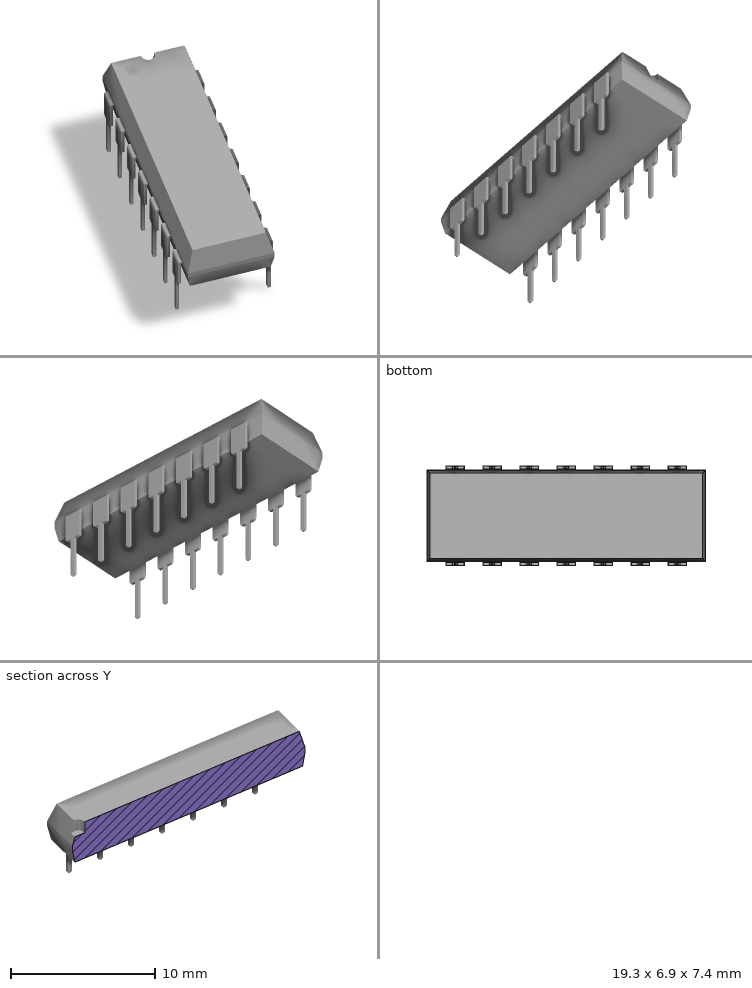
import cadquery as cq

body_length = 19.3
body_width = 6.31
body_height = 3.32
band_bottom = 1.18
band_top = 1.58
upper_draft = 15.7
lower_draft = 10.0

notch_radius = 0.5
notch_depth = 0.98
notch_from_end = 0.52
dimple_diameter = 1.3
dimple_depth = 0.1
dimple_from_end = 1.49
dimple_offset = 1.55

leads_per_row = 7
lead_pitch = 2.57
row_span = 6.9
lead_thickness = 0.23
bend_radius = 0.2
shoulder_width = 1.3
shoulder_radius = 0.17
pin_width = 0.33
lead_top = 1.4
shoulder_bottom = -0.87
overall_height = 7.4
tip_length = 0.12
tip_width = 0.05
tip_thickness = 0.12
lead_embed = 0.39

tip_bottom = body_height - overall_height
upper_height = body_height - band_top


def make_body():
    """Band, tapered upper half and tapered lower half."""
    band = (
        cq.Workplane("XY", origin=(0, 0, band_bottom))
        .rect(body_length, body_width)
        .extrude(band_top - band_bottom)
    )
    upper = (
        cq.Workplane("XY", origin=(0, 0, band_top))
        .rect(body_length, body_width)
        .extrude(upper_height, taper=upper_draft)
    )
    lower = (
        cq.Workplane("XY", origin=(0, 0, band_bottom))
        .rect(body_length, body_width)
        .extrude(-band_bottom, taper=lower_draft)
    )
    return band.union(upper).union(lower)


def make_notch():
    """Upright cylinder at the -X end of the top face."""
    notch_x = notch_from_end - body_length / 2
    return (
        cq.Workplane("XY", origin=(notch_x, 0, body_height))
        .circle(notch_radius)
        .extrude(-notch_depth)
    )


def make_dimple():
    """Shallow cone marking the first lead."""
    cone = cq.Solid.makeCone(
        dimple_diameter / 2,
        0,
        dimple_depth,
        pnt=cq.Vector(dimple_from_end - body_length / 2, -dimple_offset, body_height),
        dir=cq.Vector(0, 0, -1),
    )
    return cq.Workplane(cone)


def make_lead():
    """One lead of the -Y row, centred on X = 0."""
    outer_y = -row_span / 2
    inner_y = outer_y + lead_thickness
    root_y = -body_width / 2 + lead_embed

    strip = (
        cq.Workplane("YZ")
        .moveTo(root_y, lead_top)
        .lineTo(outer_y + bend_radius, lead_top)
        .radiusArc((outer_y, lead_top - bend_radius), -bend_radius)
        .lineTo(outer_y, shoulder_bottom)
        .lineTo(inner_y, shoulder_bottom)
        .lineTo(inner_y, lead_top - lead_thickness)
        .lineTo(root_y, lead_top - lead_thickness)
        .close()
        .extrude(shoulder_width / 2, both=True)
        .edges("|Y and <Z")
        .fillet(shoulder_radius)
    )

    pin_end = tip_bottom + tip_length
    pin_y = (outer_y + inner_y) / 2
    pin = (
        cq.Workplane("XY", origin=(0, pin_y, pin_end))
        .rect(pin_width, lead_thickness)
        .extrude(shoulder_bottom - pin_end)
    )
    tip = (
        cq.Workplane("XY", origin=(0, pin_y, pin_end))
        .rect(pin_width, lead_thickness)
        .workplane(offset=-tip_length)
        .rect(tip_width, tip_thickness)
        .loft(ruled=True)
    )
    return strip.union(pin).union(tip)


result = make_body().cut(make_notch()).cut(make_dimple())

front_lead = make_lead()
back_lead = front_lead.mirror("XZ")
for index in range(leads_per_row):
    lead_x = (index - (leads_per_row - 1) / 2) * lead_pitch
    for lead in (front_lead, back_lead):
        result = result.union(lead.translate((lead_x, 0, 0)))